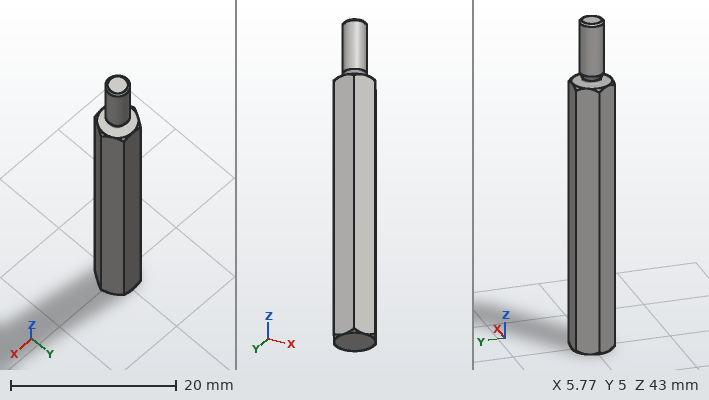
import cadquery as cq
import math

total_length = 43.0
across_flats = 5.0
hex_length = 35.0
hex_end_diameter = across_flats
hex_chamfer_angle = 45.0

stud_diameter = 3.0
tip_diameter = 2.45
neck_diameter = 2.2
neck_root_fillet = 0.15
neck_length = 0.45
undercut_length = 1.15

across_corners = across_flats / math.cos(math.radians(30))
stud_radius = stud_diameter / 2
neck_radius = neck_diameter / 2
tip_radius = tip_diameter / 2
tip_chamfer = stud_radius - tip_radius


def revolve_about_z(profile):
    return profile.close().revolve(360, (0, 0, 0), (0, 1, 0))


def make_hex_body():
    """Hexagonal bar whose corners are cut by a cone at both ends."""
    bar = cq.Workplane("XY").polygon(6, across_corners).extrude(hex_length)
    end_radius = hex_end_diameter / 2
    corner_radius = across_corners / 2
    chamfer_height = (corner_radius - end_radius) * math.tan(math.radians(hex_chamfer_angle))
    envelope = revolve_about_z(
        cq.Workplane("XZ")
        .lineTo(end_radius, 0)
        .lineTo(corner_radius, chamfer_height)
        .lineTo(corner_radius, hex_length - chamfer_height)
        .lineTo(end_radius, hex_length)
        .lineTo(0, hex_length)
    )
    return bar.intersect(envelope)


def make_stud():
    """Round stud with a filleted undercut neck, a cone and a chamfered tip."""
    return revolve_about_z(
        cq.Workplane("XZ")
        .moveTo(0, hex_length)
        .lineTo(neck_radius + neck_root_fillet, hex_length)
        .radiusArc((neck_radius, hex_length + neck_root_fillet), neck_root_fillet)
        .lineTo(neck_radius, hex_length + neck_length)
        .lineTo(stud_radius, hex_length + undercut_length)
        .lineTo(stud_radius, total_length - tip_chamfer)
        .lineTo(tip_radius, total_length)
        .lineTo(0, total_length)
    )


result = make_hex_body().union(make_stud())